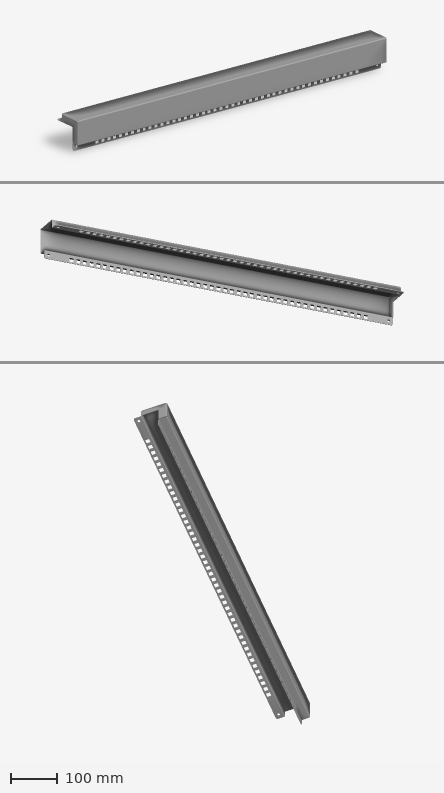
import cadquery as cq
import math

length = 825.0
width = 77.5
height = 75.0
sheet = 1.5
inner_bend = 1.0
outer_bend = inner_bend + sheet

flange_reach = 18.0
flange_face = 21.0
tab_depth = flange_face - sheet
top_span = width - flange_reach
side_span = height - flange_reach
flange_setback = 2.0
corner_radius = 4.0

hole_row_length = 694.5
hole_count = 45
hole_pitch = hole_row_length / (hole_count - 1)
square_size = 9.0
square_edge = 7.7
screw_diameter = 6.0
screw_edge = 9.0
screw_end = 10.0

mitre_gap = 0.3

front = -length / 2
back = length / 2
flange_front = front + flange_setback
tangent_front = front + outer_bend


def rounded_outline(plane, corners):
    """Closed outline through (u, v, radius) corners; a radius of 0 keeps the corner sharp."""
    outline = cq.Workplane(plane)
    started = False
    for i, (u, v, radius) in enumerate(corners):
        before = corners[i - 1]
        after = corners[(i + 1) % len(corners)]
        to_before = cq.Vector(before[0] - u, before[1] - v).normalized()
        to_after = cq.Vector(after[0] - u, after[1] - v).normalized()
        corner = cq.Vector(u, v)
        entry = corner + to_before * radius
        leave = corner + to_after * radius
        outline = outline.lineTo(entry.x, entry.y) if started else outline.moveTo(entry.x, entry.y)
        started = True
        if radius > 0:
            middle = corner + (to_before + to_after) * (radius * (1 - math.sqrt(0.5)))
            outline = outline.threePointArc((middle.x, middle.y), (leave.x, leave.y))
    return outline.close()


def box(x_range, y_range, z_range):
    """Block given by its start and end along each axis."""
    sizes = [end - start for start, end in (x_range, y_range, z_range)]
    corner = (x_range[0], y_range[0], z_range[0])
    return cq.Workplane("XY").box(*sizes, centered=False).translate(corner)


def swap_legs(body):
    """Reflect a feature of the top leg onto the side leg (X and Z change places)."""
    return body.mirror(cq.Vector(1, 0, -1))


def folded_sheet():
    """Constant section: top wall, side wall, and a step and flange on each leg."""
    near_face = flange_face - sheet
    corners = [
        (-width, -flange_face, 0),
        (-width, -near_face, 0),
        (-top_span, -near_face, inner_bend),
        (-top_span, 0, outer_bend),
        (0, 0, outer_bend),
        (0, -side_span, outer_bend),
        (-near_face, -side_span, inner_bend),
        (-near_face, -height, 0),
        (-flange_face, -height, 0),
        (-flange_face, sheet - side_span, outer_bend),
        (-sheet, sheet - side_span, inner_bend),
        (-sheet, -sheet, inner_bend),
        (sheet - top_span, -sheet, inner_bend),
        (sheet - top_span, -flange_face, outer_bend),
    ]
    profile = rounded_outline("XZ", corners)
    return profile.extrude(back - flange_front).translate((0, back, 0))


def front_relief():
    """Room at the front end where the top and side walls turn into the end tabs."""
    y_range = (front, tangent_front)
    top = box((outer_bend - top_span, 0), y_range, (-outer_bend, 0))
    return top.union(box((-outer_bend, 0), y_range, (outer_bend - side_span, 0)))


def end_tab(span):
    """Tab folded down from the front of the top wall, mitred toward the outer corner."""
    lap_end = tangent_front + sheet
    fold = rounded_outline("YZ", [
        (lap_end, 0, 0),
        (front, 0, outer_bend),
        (front, -tab_depth, 0),
        (front + sheet, -tab_depth, 0),
        (front + sheet, -sheet, inner_bend),
        (lap_end, -sheet, 0),
    ]).extrude(-span)
    left = outer_bend - span
    mitre = [
        (left, 0),
        (-outer_bend - mitre_gap, 0),
        (-outer_bend - mitre_gap, -outer_bend),
        (-tab_depth - mitre_gap, -tab_depth),
        (left, -tab_depth),
    ]
    blank = cq.Workplane("XZ").polyline(mitre).close().extrude(length).translate((0, back, 0))
    return fold.intersect(blank)


def flange_cutter(edge):
    """Square holes, end screw holes and outer corner rounds for the flange of the top leg."""
    clearance = sheet
    drill = cq.Workplane("XY").workplane(offset=-flange_face - clearance)
    depth = sheet + 2 * clearance
    row_x = -edge + square_edge
    first_y = (flange_front + back - hole_row_length) / 2
    places = [(row_x, first_y + i * hole_pitch) for i in range(hole_count)]
    cutter = drill.pushPoints(places).rect(square_size, square_size).extrude(depth)
    screw_x = -edge + screw_edge
    screws = [(screw_x, flange_front + screw_end), (screw_x, back - screw_end)]
    cutter = cutter.union(drill.pushPoints(screws).circle(screw_diameter / 2).extrude(depth))
    for end_y, inward in ((flange_front, 1), (back, -1)):
        r = corner_radius
        square = drill.center(-edge + r / 2, end_y + inward * r / 2).rect(r, r).extrude(depth)
        disc = drill.center(-edge + r, end_y + inward * r).circle(r).extrude(depth)
        cutter = cutter.union(square.cut(disc))
    return cutter


result = (
    folded_sheet()
    .cut(front_relief())
    .union(end_tab(top_span))
    .union(swap_legs(end_tab(side_span)))
    .cut(flange_cutter(width))
    .cut(swap_legs(flange_cutter(height)))
)